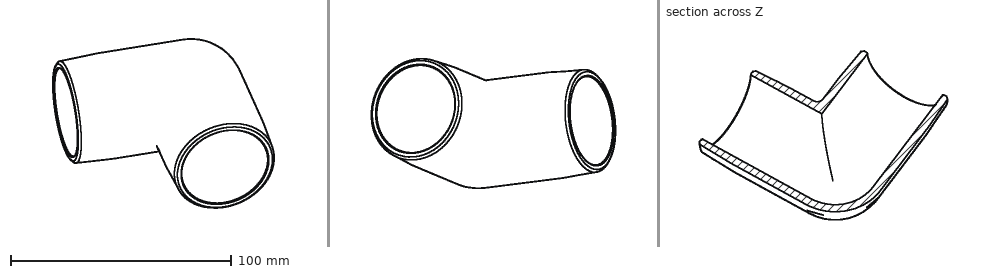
import cadquery as cq

overall = 83.25
outer_diameter = 48.5
bore_diameter = 40.5
sleeve_length = 18.5
end_diameter = 46.9
end_chamfer = 1.1
bore_chamfer = 0.4
crotch_radius = 3.0

outer_radius = outer_diameter / 2
bore_radius = bore_diameter / 2
end_radius = end_diameter / 2
arm_length = overall - outer_radius
sleeve_start = arm_length - sleeve_length

x_arm_plane = cq.Plane(origin=(0, 0, 0), xDir=(0, 1, 0), normal=(1, 0, 0))
y_arm_plane = cq.Plane(origin=(0, 0, 0), xDir=(1, 0, 0), normal=(0, -1, 0))
arm_planes = (x_arm_plane, y_arm_plane)


def rounded_elbow(radius, length):
    """Two equal round bars at a right angle with a ball at the outer corner."""
    elbow = cq.Workplane("XY").sphere(radius)
    for plane in arm_planes:
        elbow = elbow.union(cq.Workplane(plane).circle(radius).extrude(length))
    return elbow


def tapered_sleeve(plane):
    """Slightly conical end of an arm with a chamfered rim."""
    sleeve = (
        cq.Workplane(plane).workplane(offset=sleeve_start).circle(outer_radius)
        .workplane(offset=sleeve_length).circle(end_radius)
        .loft(ruled=True)
    )
    return sleeve.faces(cq.selectors.DirectionMinMaxSelector(plane.zDir, True)).chamfer(end_chamfer)


def bore_mouth(plane):
    """Conical cutter that breaks the inner edge of an arm's opening."""
    return (
        cq.Workplane(plane).workplane(offset=arm_length - bore_chamfer).circle(bore_radius)
        .workplane(offset=bore_chamfer).circle(bore_radius + bore_chamfer)
        .loft(ruled=True)
    )


crease_point = (outer_radius, -outer_radius, outer_radius)
body = rounded_elbow(outer_radius, sleeve_start)
body = body.edges(cq.selectors.NearestToPointSelector(crease_point)).fillet(crotch_radius)
for arm_plane in arm_planes:
    body = body.union(tapered_sleeve(arm_plane))

result = body.cut(rounded_elbow(bore_radius, arm_length))
for arm_plane in arm_planes:
    result = result.cut(bore_mouth(arm_plane))